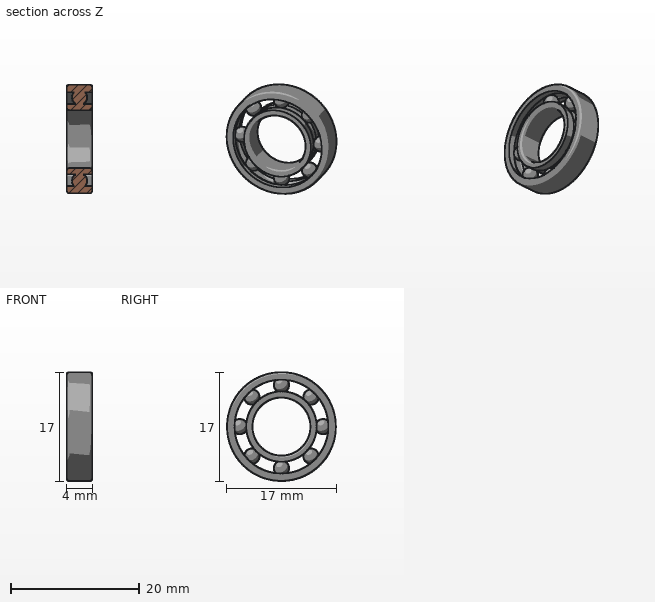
import cadquery as cq

width = 4.0
outer_diameter = 17.0
outer_ring_bore = 14.59
inner_ring_diameter = 11.0
bore_diameter = 9.0
edge_fillet = 0.4

ball_count = 8
ball_diameter = 2.41
pitch_radius = 6.5
ball_embed = 0.02

groove_radius = ball_diameter / 2 - ball_embed


def ring(outside, inside):
    """Plain ring around the X axis, centred on its width."""
    profile = cq.Workplane("YZ", origin=(-width / 2, 0, 0)).circle(outside / 2).circle(inside / 2)
    return profile.extrude(width)


def raceway():
    """Torus that cuts the ball groove into both rings."""
    torus = cq.Solid.makeTorus(pitch_radius, groove_radius, cq.Vector(0, 0, 0), cq.Vector(1, 0, 0))
    return cq.Workplane(obj=torus)


outer_rims = cq.selectors.RadiusNthSelector(-1)
bore_rims = cq.selectors.RadiusNthSelector(0)
outer_ring = ring(outer_diameter, outer_ring_bore).edges(outer_rims).fillet(edge_fillet)
inner_ring = ring(inner_ring_diameter, bore_diameter).edges(bore_rims).fillet(edge_fillet)

result = outer_ring.union(inner_ring).cut(raceway())

for index in range(ball_count):
    ball = cq.Workplane("XY").sphere(ball_diameter / 2).translate((0, 0, pitch_radius))
    result = result.union(ball.rotate((0, 0, 0), (1, 0, 0), index * 360 / ball_count))